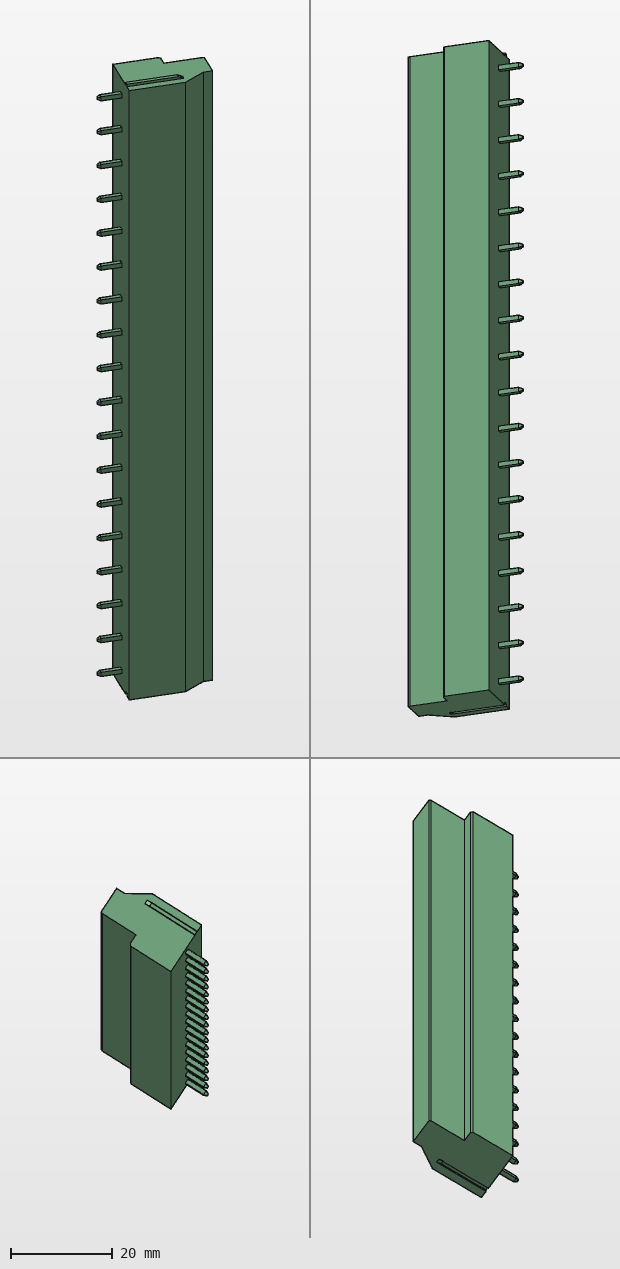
import cadquery as cq

total_length = 137.8
rib_height = 0.5
pole_count = 18
width = 11.2
depth = 18.0
length = total_length - rib_height
pitch = length / pole_count

shelf_width = 2.5
shelf_y = 9.8
shelf_chamfer = 0.4
top_chamfer_width = 0.1
top_chamfer_depth = 0.4
slope_width = 2.9
slope_high_y = 16.1
slope_low_y = 11.6

rib_width = 0.8
rib_reach = 11.7
rib_end_taper = 1.1
rib_inset = 2.0
rib_center_x = width - rib_inset

pin_size = 1.0
pin_length = 5.0
pin_tip_size = 0.4
pin_tip_length = 0.7
pin_offset = 0.1
pin_x = width / 2 + pin_offset


def make_housing():
    """Constant cross-section extruded along Z."""
    return (
        cq.Workplane("XY")
        .moveTo(0, 0)
        .lineTo(width, 0)
        .lineTo(width, slope_low_y)
        .lineTo(width - slope_width, slope_high_y)
        .lineTo(width - slope_width, depth)
        .lineTo(shelf_width + top_chamfer_width, depth)
        .lineTo(shelf_width, depth - top_chamfer_depth)
        .lineTo(shelf_width, shelf_y)
        .lineTo(shelf_chamfer, shelf_y)
        .lineTo(0, shelf_y - shelf_chamfer)
        .close()
        .extrude(length)
    )


def make_rib(base_z):
    """Rib from the base edge inwards, rising from base_z, with a sloping inner end."""
    return (
        cq.Workplane("YZ", origin=(rib_center_x, 0, base_z))
        .moveTo(0, 0)
        .lineTo(rib_reach, 0)
        .lineTo(rib_reach - rib_end_taper, rib_height)
        .lineTo(0, rib_height)
        .close()
        .extrude(rib_width / 2, both=True)
    )


def make_pin(z):
    """Square pin with a tapered tip."""
    shank_length = pin_length - pin_tip_length
    shank = (
        cq.Workplane("XZ", origin=(pin_x, 0, z))
        .rect(pin_size, pin_size)
        .extrude(shank_length)
    )
    tip = (
        cq.Workplane("XZ", origin=(pin_x, -shank_length, z))
        .rect(pin_size, pin_size)
        .workplane(offset=pin_tip_length)
        .rect(pin_tip_size, pin_tip_size)
        .loft()
    )
    return shank.union(tip)


result = make_housing().union(make_rib(length)).cut(make_rib(0))
for pole in range(pole_count):
    result = result.union(make_pin((pole + 0.5) * pitch))